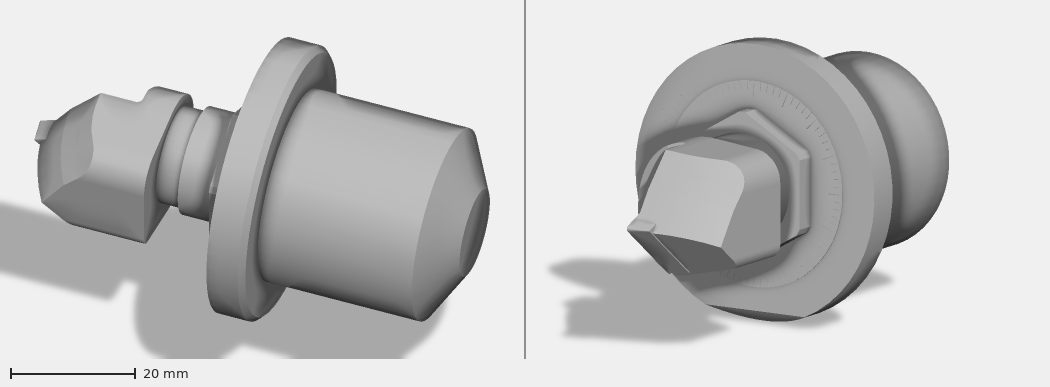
import cadquery as cq
import math


OVERALL_LENGTH = 74.1

BODY_DIA = 32.0
FLANGE_DIA = 45.7
FLANGE_LENGTH = 6.3
FLANGE_CHAMFER = 1.0
HOUSING_LENGTH = 37.5
TAPER_LENGTH = 5.05
TAPER_ANGLE = 60.0
FLAT_DEPTH = 2.1
FLAT_LENGTH = 2.7

DIAL_DIA = 33.7
DIAL_EDGE = 0.2
DIAL_THICKNESS = 0.45
HEX_FLATS = 22.0
HEX_CORNER_DIA = 24.75
HEX_FRONT = -3.8
COLLAR_DIA = 18.0
COLLAR_FRONT = -9.8
NECK_DIA = 16.1
HEAD_REAR = -13.8

TICK_WIDTH = 0.11
TICK_DEPTH = 0.1
DIAL_DIVISIONS = 80
TICKS_PER_GROUP = 5
DIAL_TICK = 1.5
DIAL_LONG_TICK = 2.6
VERNIER_DIVISIONS = 10
VERNIER_TICK = 2.2
VERNIER_LONG_TICK = 3.6
VERNIER_MIDDLE = 30.0

HEAD_RADIUS = 10.0
HEAD_DROP = 1.0
HEAD_SIDE = -13.85
UPPER_CORNER_DIA = 10.0
UPPER_SLOPE = 6.0
LOWER_CORNER_DIA = 4.4
LOWER_SLOPE = 14.0

RELIEF_RADIUS = 23.6
RELIEF_LEAN = 35.0
RELIEF_CONE = 7.7
CREASE_X = -31.1
CREASE_Z = 4.45
STEP_Y = 0.1
STEP_X = -20.45
STEP_LEAN = 6.8
STEP_FILLET = 1.0
STEP_FLAT_END = 4.1
STEP_SLOPE = 16.0

UNDERSIDE_SETBACK = 0.2
UNDERSIDE_RELIEF = 5.0

INSERT_CIRCLE = 9.5
INSERT_NOSE = 0.5
INSERT_THICKNESS = 4.0
INSERT_FACE_Y = 0.6
INSERT_RELIEF = 6.5
INSERT_TIP_X = HOUSING_LENGTH - OVERALL_LENGTH
INSERT_TIP_Z = -1.2
INSERT_TILT = 7.0

OVERCUT = 44.5


def sin(degrees):
    return math.sin(math.radians(degrees))


def cos(degrees):
    return math.cos(math.radians(degrees))


def tan(degrees):
    return math.tan(math.radians(degrees))


def turned(profile):
    """Solid turned about X from (x, radius) points; the axis closes the profile."""
    return cq.Workplane("XY").polyline(profile).close().revolve(360, (0, 0, 0), (1, 0, 0))


def radial_grooves(inner_radii, outer_radii, angles, floor_x):
    """Bars along the radii of the X axis, in front of the plane x = floor_x."""
    bars = []
    height = 2 * DIAL_THICKNESS
    for inner, outer, angle in zip(inner_radii, outer_radii, angles):
        corner = cq.Vector(floor_x - height, inner, -TICK_WIDTH / 2)
        bar = cq.Solid.makeBox(height, outer - inner, TICK_WIDTH, corner)
        bars.append(bar.rotate(cq.Vector(0, 0, 0), cq.Vector(1, 0, 0), angle))
    return cq.Compound.makeCompound(bars)


def tick_length(index, short, long):
    return long if index % TICKS_PER_GROUP == 0 else short


def make_housing():
    taper_start = HOUSING_LENGTH - TAPER_LENGTH
    end_radius = BODY_DIA / 2 - TAPER_LENGTH * tan(TAPER_ANGLE)
    flange_radius = FLANGE_DIA / 2
    housing = turned([
        (0, 0),
        (0, flange_radius),
        (FLANGE_LENGTH - FLANGE_CHAMFER, flange_radius),
        (FLANGE_LENGTH, flange_radius - FLANGE_CHAMFER),
        (FLANGE_LENGTH, BODY_DIA / 2),
        (taper_start, BODY_DIA / 2),
        (HOUSING_LENGTH, end_radius),
        (HOUSING_LENGTH, 0),
    ])
    flat = (
        cq.Workplane("XZ")
        .polyline([(0, FLAT_DEPTH - flange_radius), (FLAT_LENGTH, -flange_radius), (0, -flange_radius)])
        .close()
        .extrude(FLANGE_DIA / 2, both=True)
    )
    return housing.cut(flat).cut(cq.Workplane(vernier_grooves()))


def vernier_grooves():
    pitch = 360 / DIAL_DIVISIONS * (VERNIER_DIVISIONS - 1) / VERNIER_DIVISIONS
    indices = range(VERNIER_DIVISIONS + 1)
    inner = [DIAL_DIA / 2 for _ in indices]
    outer = [DIAL_DIA / 2 + tick_length(i, VERNIER_TICK, VERNIER_LONG_TICK) for i in indices]
    angles = [VERNIER_MIDDLE + (i - VERNIER_DIVISIONS / 2) * pitch for i in indices]
    return radial_grooves(inner, outer, angles, TICK_DEPTH)


def make_dial():
    dial = turned([
        (0, 0),
        (0, DIAL_DIA / 2),
        (-DIAL_EDGE, DIAL_DIA / 2),
        (-DIAL_THICKNESS, HEX_CORNER_DIA / 2),
        (-DIAL_THICKNESS, 0),
    ])
    indices = range(DIAL_DIVISIONS)
    inner = [DIAL_DIA / 2 - tick_length(i, DIAL_TICK, DIAL_LONG_TICK) for i in indices]
    outer = [DIAL_DIA / 2 + TICK_WIDTH for _ in indices]
    angles = [360 / DIAL_DIVISIONS * i for i in indices]
    return dial.cut(cq.Workplane(radial_grooves(inner, outer, angles, TICK_DEPTH - DIAL_EDGE)))


def make_hexagon():
    """Hexagon with two corners on the Z direction and its corners turned down."""
    front = cq.Workplane("YZ", origin=(HEX_FRONT, 0, 0))
    length = -HEX_FRONT
    hexagon = front.transformed(rotate=(0, 0, 90)).polygon(6, HEX_FLATS / cos(30)).extrude(length)
    return hexagon.intersect(front.circle(HEX_CORNER_DIA / 2).extrude(length))


def make_shank():
    return turned([
        (0, 0),
        (0, COLLAR_DIA / 2),
        (COLLAR_FRONT, COLLAR_DIA / 2),
        (COLLAR_FRONT, NECK_DIA / 2),
        (HEAD_REAR, NECK_DIA / 2),
        (HEAD_REAR, 0),
    ])


def head_blank():
    """Prism along X: two half rounds on the +Y side, and a flat side with two round corners."""
    upper_radius = UPPER_CORNER_DIA / 2
    lower_radius = LOWER_CORNER_DIA / 2
    upper_y = HEAD_SIDE + upper_radius
    upper_z = (HEAD_RADIUS - upper_radius + upper_y * sin(UPPER_SLOPE)) / cos(UPPER_SLOPE)
    lower_y = HEAD_SIDE + lower_radius
    lower_rise = (HEAD_RADIUS - lower_radius + lower_y * sin(LOWER_SLOPE)) / cos(LOWER_SLOPE)
    lower_z = -HEAD_DROP - lower_rise

    def on_round(y, z, radius, angle):
        return (y + radius * cos(angle), z + radius * sin(angle))

    top = 90 + UPPER_SLOPE
    bottom = 270 - LOWER_SLOPE
    return (
        cq.Workplane("YZ", origin=(HEAD_REAR, 0, 0))
        .moveTo(HEAD_RADIUS, 0)
        .threePointArc(on_round(0, 0, HEAD_RADIUS, top / 2), on_round(0, 0, HEAD_RADIUS, top))
        .lineTo(*on_round(upper_y, upper_z, upper_radius, top))
        .threePointArc(
            on_round(upper_y, upper_z, upper_radius, (top + 180) / 2),
            (HEAD_SIDE, upper_z),
        )
        .lineTo(HEAD_SIDE, lower_z)
        .threePointArc(
            on_round(lower_y, lower_z, lower_radius, (180 + bottom) / 2),
            on_round(lower_y, lower_z, lower_radius, bottom),
        )
        .lineTo(*on_round(0, -HEAD_DROP, HEAD_RADIUS, bottom))
        .threePointArc(
            on_round(0, -HEAD_DROP, HEAD_RADIUS, (bottom + 360) / 2),
            (HEAD_RADIUS, -HEAD_DROP),
        )
        .close()
        .extrude(INSERT_TIP_X - HEAD_REAR)
    )


def relief_envelope():
    """Cylinder, with a cone above the crease, about an axis leaning from Z towards +X."""
    axis_plane = cq.Plane(
        origin=(CREASE_X, 0, CREASE_Z),
        xDir=(cos(RELIEF_LEAN), 0, -sin(RELIEF_LEAN)),
        normal=(0, -1, 0),
    )
    return (
        cq.Workplane(axis_plane)
        .moveTo(RELIEF_RADIUS, -OVERCUT)
        .lineTo(0, -OVERCUT)
        .lineTo(0, 0)
        .lineTo(OVERCUT * tan(RELIEF_CONE), OVERCUT)
        .lineTo(RELIEF_RADIUS, OVERCUT)
        .close()
        .revolve(360, (RELIEF_RADIUS, 0, 0), (RELIEF_RADIUS, 1, 0))
    )


def step_cutter():
    """Clears the +Y half of the head in front of a leaning wall, with a fillet along its foot."""
    wall_plane = cq.Plane(
        origin=(STEP_X, 0, 0),
        xDir=(cos(STEP_LEAN), 0, -sin(STEP_LEAN)),
        normal=(sin(STEP_LEAN), 0, cos(STEP_LEAN)),
    )
    slope_run = (OVERCUT - STEP_FLAT_END) * tan(STEP_SLOPE)
    return (
        cq.Workplane(wall_plane)
        .moveTo(-OVERCUT, STEP_Y)
        .lineTo(-STEP_FILLET, STEP_Y)
        .radiusArc((0, STEP_Y + STEP_FILLET), -STEP_FILLET)
        .lineTo(0, STEP_FLAT_END)
        .lineTo(slope_run, OVERCUT)
        .lineTo(-OVERCUT, OVERCUT)
        .close()
        .extrude(OVERCUT, both=True)
    )


def insert_centre():
    """Centre (x, z) of the insert, which puts its rounded nose on the tip."""
    nose_distance = INSERT_CIRCLE - 2 * INSERT_NOSE
    x = INSERT_TIP_X + INSERT_NOSE + nose_distance * cos(INSERT_TILT)
    z = INSERT_TIP_Z - nose_distance * sin(INSERT_TILT)
    return x, z


def underside_cutter():
    """Everything below the relieved underside, which lies just inside the insert's lower side."""
    edge_angle = 30 + INSERT_TILT
    centre_x, centre_z = insert_centre()
    back_distance = INSERT_CIRCLE / 2 - INSERT_THICKNESS * tan(INSERT_RELIEF) - UNDERSIDE_SETBACK
    edge_middle = (
        centre_x - back_distance * sin(edge_angle),
        INSERT_FACE_Y - INSERT_THICKNESS,
        centre_z - back_distance * cos(edge_angle),
    )
    underside = cq.Plane(
        origin=edge_middle,
        xDir=(cos(edge_angle), 0, -sin(edge_angle)),
        normal=(-sin(edge_angle), -tan(UNDERSIDE_RELIEF), -cos(edge_angle)),
    )
    return cq.Workplane(underside).rect(2 * OVERCUT, 2 * OVERCUT).extrude(OVERCUT)


def make_cartridge(insert):
    head = head_blank().intersect(relief_envelope()).cut(step_cutter()).cut(underside_cutter())
    return make_dial().union(make_hexagon()).union(make_shank()).union(head).cut(insert)


def make_insert():
    """Equal-sided plate whose sides and rounded corners all draw in towards its back face."""
    centre_x, centre_z = insert_centre()
    nose_distance = INSERT_CIRCLE - 2 * INSERT_NOSE
    nose_centres = []
    for corner in range(3):
        angle = 180 - INSERT_TILT + 120 * corner
        nose_centres.append((centre_x + nose_distance * cos(angle), centre_z + nose_distance * sin(angle)))
    return (
        cq.Workplane("XZ", origin=(0, INSERT_FACE_Y, 0))
        .polyline(nose_centres)
        .close()
        .offset2D(INSERT_NOSE)
        .extrude(INSERT_THICKNESS, taper=INSERT_RELIEF)
    )


housing = make_housing()
insert = make_insert()
cartridge = make_cartridge(insert)

result = cq.Compound.makeCompound([housing.solids().val(), cartridge.solids().val(), insert.val()])